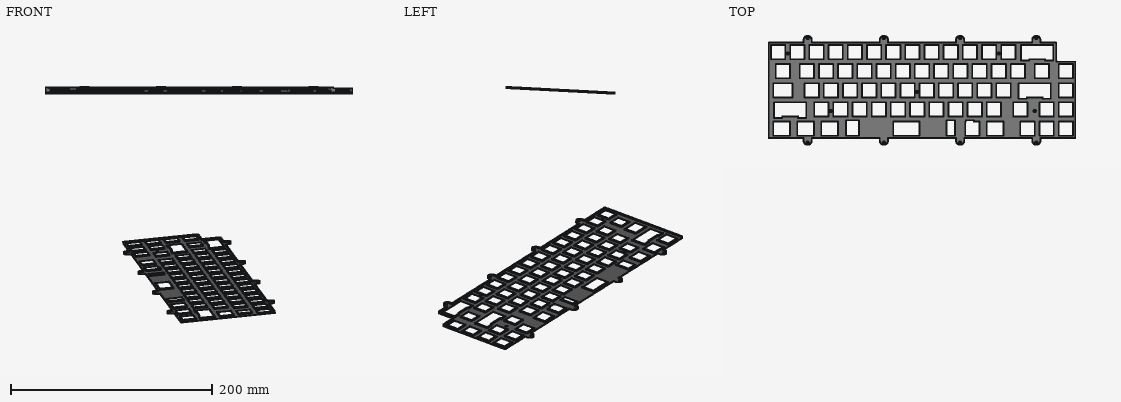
import cadquery as cq

UNIT = 19.05
COLUMNS = 16
ROWS = 5

THICKNESS = 1.5
TILT_ANGLE = 3.0
PLATE_WIDTH = COLUMNS * UNIT
PLATE_DEPTH = ROWS * UNIT
CORNER_RADIUS = 1.0

TAB_WIDTH = 8.4
TAB_LENGTH = 6.525
TAB_SPACING = 75.7
TABS_PER_EDGE = 4
TAB_HOLE_FROM_EDGE = 4.5

SCREW_HOLE_DIAMETER = 2.2
SWITCH_SIZE = 14.0
STABILIZER_WIDTH = 8.0
STABILIZER_OVERHANG = 1.3
STABILIZER_OFFSET_2U = 11.94
STABILIZER_OFFSET_6_25U = 50.0
STABILIZER_OFFSET_7U = 57.15

NUMBER_ROW = [0.5 + i for i in range(13)]
UPPER_ROW = [0.75] + [2.0 + i for i in range(12)] + [14.25, 15.5]
HOME_ROW = [(0.625, 0.875)] + [2.25 + i for i in range(11)] + [15.5]
LOWER_ROW = [2.75 + i for i in range(10)] + [13.125, 14.5, 15.5]
SPACEBAR_6_25U = 6.875
SPACEBAR_7U = 7.5
BOTTOM_ROW = [
    (0.625, 0.75),
    (1.875, 2.0),
    (3.125, 3.25),
    (SPACEBAR_6_25U, SPACEBAR_7U),
    10.625,
    (11.75, 11.875),
    13.5,
    14.5,
    15.5,
]
KEY_ROWS = [NUMBER_ROW, UPPER_ROW, HOME_ROW, LOWER_ROW, BOTTOM_ROW]

STABILIZED_KEYS = [(0, 14.0), (2, 13.875), (3, 1.125)]

PLATE_SCREWS = [(0, 1.0), (0, 12.0), (2, 7.75), (3, 3.25), (3, 13.875)]
PLATE_SCREW_DROP = 1.5


def row_center(row):
    """Y of the centre line of a key row, counted from the back edge."""
    return PLATE_DEPTH - (row + 0.5) * UNIT


def block(left, right, bottom, top):
    """Box through the plate thickness, given by its four sides."""
    box = cq.Workplane("XY").box(right - left, top - bottom, THICKNESS, centered=False)
    return box.translate((left, bottom, 0))


def screw_cutter(x, y):
    """Cylinder that clears one screw hole."""
    return cq.Workplane("XY").center(x, y).circle(SCREW_HOLE_DIAMETER / 2).extrude(THICKNESS)


def make_plate():
    """Rectangle with its back right key cell missing and every corner rounded."""
    step_x = PLATE_WIDTH - UNIT
    step_y = PLATE_DEPTH - UNIT
    outline = [
        (0, 0),
        (PLATE_WIDTH, 0),
        (PLATE_WIDTH, step_y),
        (step_x, step_y),
        (step_x, PLATE_DEPTH),
        (0, PLATE_DEPTH),
    ]
    plate = cq.Workplane("XY").polyline(outline).close().extrude(THICKNESS)
    return plate.edges("|Z").fillet(CORNER_RADIUS)


def make_tab(x, edge_y, direction):
    """Tab with a fully rounded tip and a screw hole, pointing away from the plate edge."""
    tip_radius = TAB_WIDTH / 2
    tip_center_y = edge_y + direction * (TAB_LENGTH - tip_radius)
    tab = block(x - tip_radius, x + tip_radius, min(edge_y, tip_center_y), max(edge_y, tip_center_y))
    tip = cq.Workplane("XY").center(x, tip_center_y).circle(tip_radius).extrude(THICKNESS)
    return tab.union(tip).cut(screw_cutter(x, edge_y + direction * TAB_HOLE_FROM_EDGE))


def add_tabs(plate):
    """Row of evenly spaced tabs on the back edge and another on the front edge."""
    first_x = PLATE_WIDTH / 2 - TAB_SPACING * (TABS_PER_EDGE - 1) / 2
    for i in range(TABS_PER_EDGE):
        x = first_x + i * TAB_SPACING
        plate = plate.union(make_tab(x, PLATE_DEPTH, 1))
        plate = plate.union(make_tab(x, 0, -1))
    return plate


def switch_cutter(row, position):
    """Switch opening, stretched when the position is a pair of key centres."""
    first, last = position if isinstance(position, tuple) else (position, position)
    y = row_center(row)
    half = SWITCH_SIZE / 2
    return block(first * UNIT - half, last * UNIT + half, y - half, y + half)


def stabilizer_cutter(x, row, overhang_direction):
    """Stabilizer opening, longer than a switch on its overhang side."""
    half = SWITCH_SIZE / 2
    below = STABILIZER_OVERHANG if overhang_direction < 0 else 0
    above = STABILIZER_OVERHANG if overhang_direction > 0 else 0
    y = row_center(row)
    return block(x - STABILIZER_WIDTH / 2, x + STABILIZER_WIDTH / 2, y - half - below, y + half + above)


def wide_key_cutters(row, center):
    """Opening of a two-unit key: two stabilizers joined by a slot of switch height."""
    x = center * UNIT
    y = row_center(row)
    half = SWITCH_SIZE / 2
    left = x - STABILIZER_OFFSET_2U
    right = x + STABILIZER_OFFSET_2U
    return [
        block(left, right, y - half, y + half),
        stabilizer_cutter(left, row, -1),
        stabilizer_cutter(right, row, -1),
    ]


def spacebar_stabilizer_cutters():
    """Stabilizer openings for both spacebar sizes, turned to overhang to the back."""
    cutters = []
    spacebars = [(SPACEBAR_6_25U, STABILIZER_OFFSET_6_25U), (SPACEBAR_7U, STABILIZER_OFFSET_7U)]
    for center, offset in spacebars:
        for side in (-1, 1):
            cutters.append(stabilizer_cutter(center * UNIT + side * offset, ROWS - 1, 1))
    return cutters


def cut_openings(plate):
    """Cut every switch, stabilizer and screw opening through the plate."""
    cutters = spacebar_stabilizer_cutters()
    for row, positions in enumerate(KEY_ROWS):
        for position in positions:
            cutters.append(switch_cutter(row, position))
    for row, center in STABILIZED_KEYS:
        cutters.extend(wide_key_cutters(row, center))
    for row, position in PLATE_SCREWS:
        cutters.append(screw_cutter(position * UNIT, row_center(row) - PLATE_SCREW_DROP))
    openings = [cutter.val() for cutter in cutters]
    return cq.Workplane(plate.val().cut(*openings))


flat_plate = cut_openings(add_tabs(make_plate()))
result = flat_plate.rotate((0, 0, 0), (1, 0, 0), TILT_ANGLE)